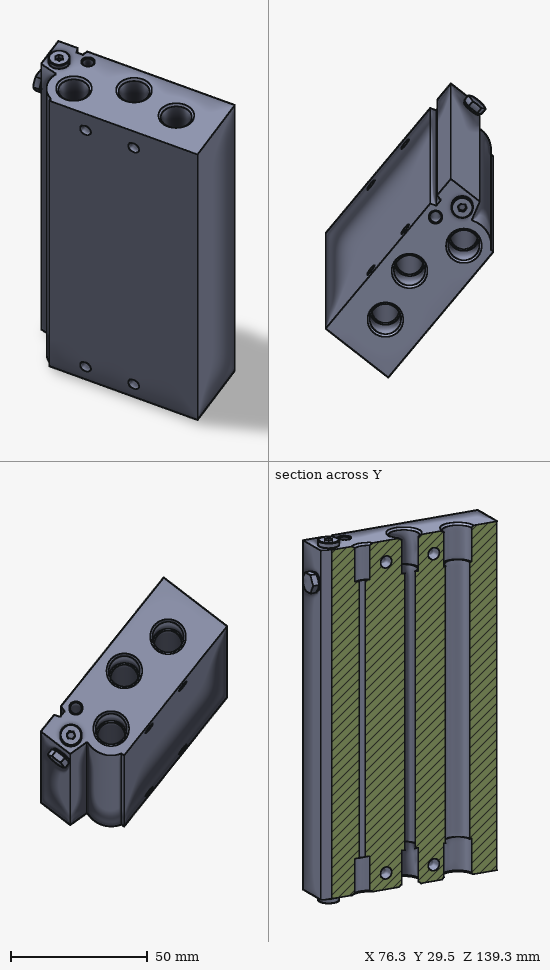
import cadquery as cq
import math


total_length = 139.3
total_width = 76.3
depth = 29.5

plug_x = 5.5
plug_y = 19.8
plug_diameter = 8.0
plug_height = 2.2
plug_chamfer = 0.3
socket_flats = 2.8
socket_depth = 1.8

head_length = 2.6
head_flats = 7.1
head_chamfer = 0.1
neck_length = 0.7
neck_diameter = 7.1
bolt_below_top = 13.1

housing_width = total_width - head_length - neck_length
housing_height = total_length - 2 * plug_height
top_z = housing_height / 2
lobe_radius = 10.0
lobe_x = 16.7
lobe_y = 9.9
slope_start_y = 15.9
slope_end_y = 13.8
wall_x = 7.2
front_start_x = 11.7

groove_left = 8.0
groove_right = 12.0
groove_depth = 2.2
groove_taper = 0.7

bore_pitch = 19.9
bore_y = [lobe_y, 19.4, 14.6]
bore_places = [(lobe_x + i * bore_pitch, y) for i, y in enumerate(bore_y)]
bore_diameter = 10.0
counterbore_diameter = 11.4
counterbore_depth = 13.9
rim_diameter = 13.1

small_bore_place = (14.8, 24.8)
small_bore_diameter = 4.2
small_rim_diameter = 5.0

mount_diameter = 4.5
mount_columns = [lobe_x + bore_pitch / 2, lobe_x + 3 * bore_pitch / 2]
mount_top_z = top_z - 8.4
mount_pitch = 120.1


def hexagon_corners(flats):
    """Diameter across the corners of a hexagon."""
    return flats / math.cos(math.pi / 6)


def end_bore(place, diameter, bore_depth):
    """Cutter for a flat-bottomed bore that starts at the top face."""
    return cq.Workplane("XY", origin=(*place, top_z)).circle(diameter / 2).extrude(-bore_depth)


def end_countersink(place, outer_diameter, inner_diameter):
    """Cutter for a 45-degree countersink in the top face."""
    drop = (outer_diameter - inner_diameter) / 2
    foot = cq.Vector(*place, top_z - drop)
    cone = cq.Solid.makeCone(inner_diameter / 2, outer_diameter / 2, drop, foot, cq.Vector(0, 0, 1))
    return cq.Workplane(cone)


def cut_both_ends(body, cutter):
    return body.cut(cutter).cut(cutter.mirror("XY"))


def make_profile():
    """Constant section with the lobe at front left and the groove at the back."""
    wall_foot_y = lobe_y + math.sqrt(lobe_radius**2 - (lobe_x - wall_x) ** 2)
    lobe_foot_y = lobe_y - math.sqrt(lobe_radius**2 - (lobe_x - front_start_x) ** 2)
    groove_floor_y = depth - groove_depth
    return (
        cq.Workplane("XY", origin=(0, 0, -top_z))
        .moveTo(0, depth)
        .lineTo(0, slope_start_y)
        .lineTo(wall_x, slope_end_y)
        .lineTo(wall_x, wall_foot_y)
        .threePointArc((lobe_x - lobe_radius, lobe_y), (front_start_x, lobe_foot_y))
        .lineTo(front_start_x, 0)
        .lineTo(housing_width, 0)
        .lineTo(housing_width, depth)
        .lineTo(groove_right, depth)
        .lineTo(groove_right - groove_taper, groove_floor_y)
        .lineTo(groove_left + groove_taper, groove_floor_y)
        .lineTo(groove_left, depth)
        .close()
        .extrude(housing_height)
    )


def cut_main_bores(body):
    for place in bore_places:
        body = body.cut(end_bore(place, bore_diameter, housing_height))
        body = cut_both_ends(body, end_bore(place, counterbore_diameter, counterbore_depth))
        body = cut_both_ends(body, end_countersink(place, rim_diameter, counterbore_diameter))
    return body


def cut_small_bore(body):
    body = body.cut(end_bore(small_bore_place, small_bore_diameter, housing_height))
    return cut_both_ends(body, end_countersink(small_bore_place, small_rim_diameter, small_bore_diameter))


def cut_mounting_holes(body):
    rows = [mount_top_z, mount_top_z - mount_pitch]
    places = [(x, z) for x in mount_columns for z in rows]
    return body.cut(cq.Workplane("XZ").pushPoints(places).circle(mount_diameter / 2).extrude(-depth))


def make_housing():
    return cut_mounting_holes(cut_small_bore(cut_main_bores(make_profile())))


def make_plug(end):
    """Chamfered disc with a hexagon socket, on the top (end = 1) or bottom (end = -1) face."""
    plug = (
        cq.Workplane("XY", origin=(plug_x, plug_y, top_z))
        .circle(plug_diameter / 2)
        .extrude(plug_height)
        .faces("<Z or >Z")
        .edges()
        .chamfer(plug_chamfer)
        .faces(">Z")
        .workplane()
        .polygon(6, hexagon_corners(socket_flats))
        .cutBlind(-socket_depth)
    )
    return plug if end > 0 else plug.mirror("XY")


def make_bolt():
    """Hexagon head on a round neck that stands on the left face."""
    bolt_z = top_z - bolt_below_top
    head_corners = hexagon_corners(head_flats)
    neck = cq.Workplane("YZ", origin=(0, plug_y, bolt_z)).circle(neck_diameter / 2).extrude(-neck_length)
    head_base = cq.Workplane("YZ", origin=(-neck_length, plug_y, bolt_z))
    hexagon = head_base.polygon(6, head_corners).extrude(-head_length)
    trim = (
        head_base.circle(head_corners / 2)
        .extrude(-head_length)
        .faces("<X")
        .chamfer(head_chamfer, (head_corners - head_flats) / 2)
    )
    return neck.union(hexagon.intersect(trim))


housing = make_housing()
plugs = [make_plug(end) for end in (1, -1)]
bolt = make_bolt()

result = cq.Compound.makeCompound([housing.val(), *[plug.val() for plug in plugs], bolt.val()])